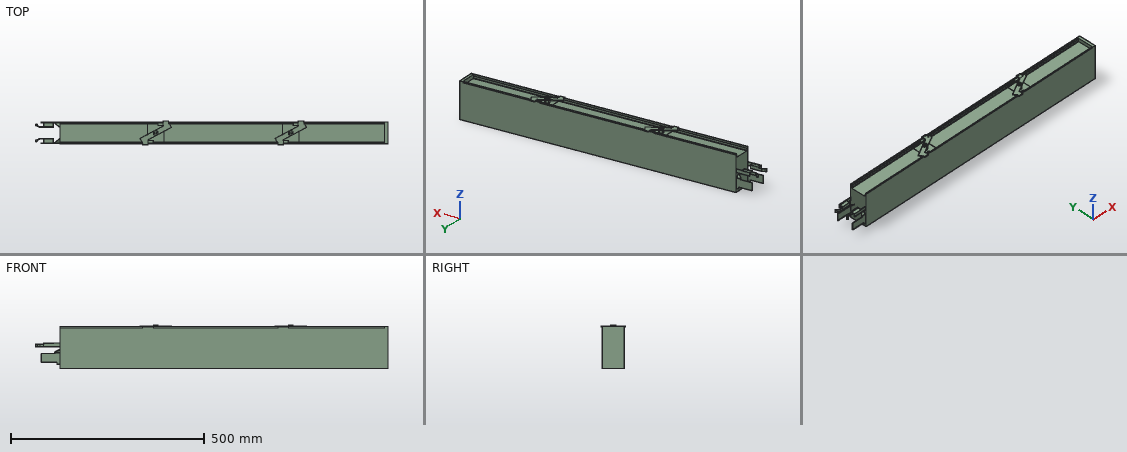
import cadquery as cq

body_length = 850.0
body_width = 57.0
body_height = 110.0
wall = 2.5
cap_length = 9.0
core_top = 99.0
ledge_top = 100.3
step_top = 105.5
step_wall = 4.0
core_width = 46.0
inner_side = body_width / 2 - wall

clamp_positions = (248.0, 598.0)
plate_length = 43.0
plate_thickness = 0.8
bar_length = 85.0
bar_width = 13.0
bar_thickness = 3.0
bar_angle = 28.0
bar_top = 110.5
overall_width = 62.47
hook_length = 14.5
hook_offset = 26.5
hook_inner = 18.0
brace_start = 6.0
brace_foot = 22.5
brace_head = 19.5
overall_height = 113.0
head_across_corners = 14.5
hex_sides = 6
socket_diameter = 6.0

contact_inset = 0.5
contact_side = body_width / 2 - contact_inset
blade_thickness = 2.0
blade_reach = 49.0
blade_bottom = 16.8
blade_top = 39.5
blade_corner = 1.0
root_reach = 8.0
root_bottom = 11.6
shoulder_reach = 13.0
shoulder_top = 42.5
wing_reach = 15.0
wing_inner = 14.0
wing_top = 51.0
wing_thickness = 2.0

spring_bottom = 56.5
spring_top = 67.0
sheet = 2.0
channel_reach = 42.0
channel_length = 25.0
spring_inner = 14.0
prong_top = 64.0
prong_bend = 52.0
prong_tip_offset = 20.5
curl_radius = 2.5
contact_reach = 63.54

overlap = 1.0


def box(x_min, x_max, y_min, y_max, z_min, z_max):
    size = (x_max - x_min, y_max - y_min, z_max - z_min)
    return cq.Workplane("XY").box(*size, centered=False).translate((x_min, y_min, z_min))


def housing():
    body = box(0, body_length, -body_width / 2, body_width / 2, 0, body_height)
    cap_face = body_length - cap_length
    upper = box(0, cap_face, -inner_side, inner_side, step_top, body_height)
    lower_side = body_width / 2 - step_wall
    lower = box(0, cap_face, -lower_side, lower_side, ledge_top, step_top)
    groove = box(0, cap_face, -core_width / 2, core_width / 2, core_top, ledge_top)
    return body.cut(upper).cut(lower).cut(groove)


def hook():
    """Hook over the +Y wall, with a tapered brace standing on the ledge below it."""
    bar_bottom = bar_top - bar_thickness
    hook_start = hook_offset - hook_length / 2
    hook_end = hook_offset + hook_length / 2
    flat = box(hook_start, hook_end, hook_inner, overall_width / 2, bar_bottom, bar_top)
    brace = (
        cq.Workplane("YZ")
        .moveTo(brace_foot, ledge_top)
        .lineTo(inner_side, ledge_top)
        .lineTo(inner_side, bar_bottom)
        .lineTo(brace_head, bar_bottom)
        .close()
        .extrude(hook_end - brace_start)
        .translate((brace_start, 0, 0))
    )
    return flat.union(brace)


def hex_screw():
    bottom = core_top - overlap
    screw = cq.Workplane("XY").workplane(offset=bottom).polygon(hex_sides, head_across_corners)
    screw = screw.extrude(overall_height - bottom)
    socket = cq.Workplane("XY").workplane(offset=bar_top).circle(socket_diameter / 2)
    socket = socket.extrude(overall_height - bar_top)
    return screw.cut(socket).rotate((0, 0, 0), (0, 0, 1), 90)


def clamp():
    plate_top = ledge_top + plate_thickness
    plate = box(-plate_length / 2, plate_length / 2, -inner_side, inner_side, ledge_top, plate_top)
    bar = cq.Workplane("XY").box(bar_length, bar_width, bar_thickness)
    bar = bar.rotate((0, 0, 0), (0, 0, 1), bar_angle)
    bar = bar.translate((0, 0, bar_top - bar_thickness / 2))
    opposite_hook = hook().rotate((0, 0, 0), (0, 0, 1), 180)
    frame = plate.union(bar).union(hook()).union(opposite_hook)
    return frame.union(hex_screw())


def blade():
    plate = (
        cq.Workplane("XZ")
        .moveTo(overlap, root_bottom)
        .lineTo(-root_reach, root_bottom)
        .lineTo(-root_reach, blade_bottom)
        .lineTo(-blade_reach, blade_bottom)
        .lineTo(-blade_reach, blade_top)
        .lineTo(-shoulder_reach, blade_top)
        .lineTo(-shoulder_reach, shoulder_top)
        .lineTo(overlap, shoulder_top)
        .close()
        .extrude(blade_thickness)
    )
    plate = plate.edges("|Y and <X").chamfer(blade_corner)
    return plate.translate((0, contact_side, 0))


def wing():
    root = contact_side - blade_thickness
    sloped = (
        cq.Workplane("YZ")
        .moveTo(contact_side, shoulder_top)
        .lineTo(contact_side, shoulder_top - wing_thickness)
        .lineTo(root, shoulder_top - wing_thickness)
        .lineTo(wing_inner, wing_top - wing_thickness)
        .lineTo(wing_inner, wing_top)
        .lineTo(root, shoulder_top)
        .close()
        .extrude(-wing_reach)
    ).translate((overlap, 0, 0))
    plan = (
        cq.Workplane("XY")
        .moveTo(overlap, contact_side)
        .lineTo(-wing_reach, contact_side)
        .lineTo(-wing_reach, root)
        .lineTo(0, wing_inner)
        .lineTo(overlap, wing_inner)
        .close()
        .extrude(body_height)
    )
    return sloped.intersect(plan)


def spring():
    web = box(-channel_reach, overlap, contact_side - sheet, contact_side, spring_bottom, spring_top)
    channel_end = channel_length - channel_reach
    roof = box(-channel_reach, channel_end, spring_inner, contact_side, spring_top - sheet, spring_top)
    curl_x = curl_radius - contact_reach
    prong_height = prong_top - spring_bottom
    prong = (
        cq.Workplane("XY")
        .workplane(offset=spring_bottom)
        .moveTo(channel_end, spring_inner)
        .lineTo(-prong_bend, spring_inner)
        .lineTo(curl_x, prong_tip_offset - sheet)
        .lineTo(curl_x, prong_tip_offset)
        .lineTo(-prong_bend, spring_inner + sheet)
        .lineTo(channel_end, spring_inner + sheet)
        .close()
        .extrude(prong_height)
    )
    strip = box(-channel_reach, channel_end, spring_inner, spring_inner + sheet, spring_bottom, spring_top)
    curl = cq.Workplane("XY").workplane(offset=spring_bottom).center(curl_x, prong_tip_offset)
    curl = curl.circle(curl_radius).extrude(prong_height)
    return web.union(roof).union(prong).union(strip).union(curl)


contact = blade().union(wing()).union(spring())
result = housing().union(contact).union(contact.mirror("XZ"))
for position in clamp_positions:
    result = result.union(clamp().translate((position, 0, 0)))